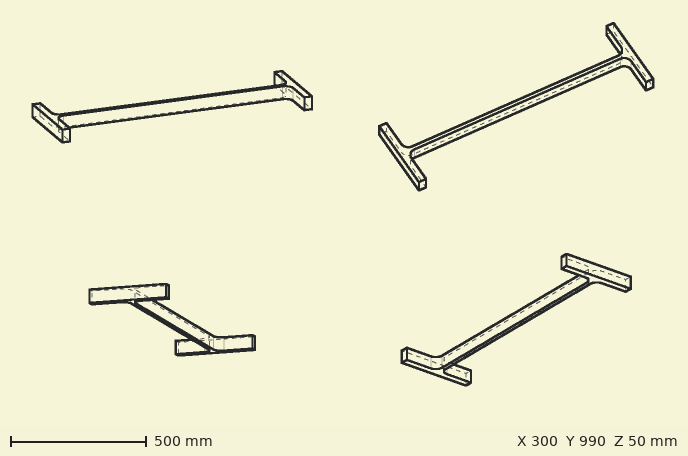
import cadquery as cq

depth = 990.0
flange_width = 300.0
flange_thickness = 31.0
web_thickness = 17.0
root_radius = 30.0
slice_length = 50.0

web = cq.Workplane("XY").box(web_thickness, depth, slice_length)
flange = cq.Workplane("XY").box(flange_width, flange_thickness, slice_length)
flange_offset = (depth - flange_thickness) / 2

beam = web
for side in (-1, 1):
    beam = beam.union(flange.translate((0, side * flange_offset, 0)))

root_corners = cq.selectors.BoxSelector(
    (-web_thickness, -depth / 2 + flange_thickness / 2, -slice_length),
    (web_thickness, depth / 2 - flange_thickness / 2, slice_length),
)
result = beam.edges("|Z").edges(root_corners).fillet(root_radius)